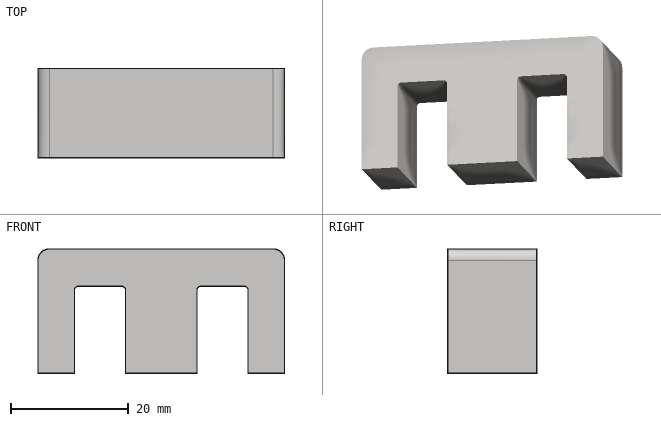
import cadquery as cq

core_length = 42.0
core_depth = 15.2
core_height = 21.2

window_span = 29.5
center_leg_width = 12.2
window_height = 14.8
window_width = (window_span - center_leg_width) / 2
window_offset = (center_leg_width + window_width) / 2

outer_radius = 2.0
window_radius = 0.6


def make_block():
    """Full block standing on Z = 0 with its two long top edges rounded along Y."""
    block = cq.Workplane("XY").box(core_length, core_depth, core_height, centered=(True, True, False))
    return block.edges("|Y and >Z").fillet(outer_radius)


def make_window(x_center):
    """Through-window cutter with rounded upper corners."""
    window = cq.Workplane("XY").box(window_width, core_depth, window_height, centered=(True, True, False))
    return window.edges("|Y and >Z").fillet(window_radius).translate((x_center, 0, 0))


result = make_block()
for side in (-1, 1):
    result = result.cut(make_window(side * window_offset))